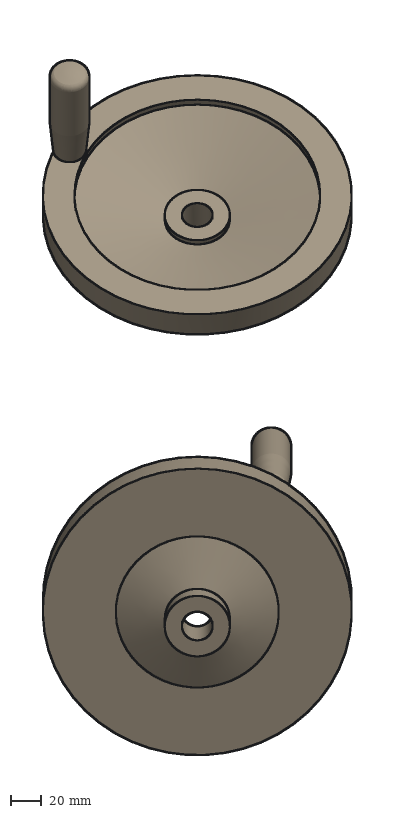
import cadquery as cq
import math

wheel_radius = 100.0
rim_inner_radius = 79.5
hub_radius = 21.0
bore_radius = 10.0
rim_bottom_z = 24.5
rim_thickness = 20.7
rim_top_z = rim_bottom_z + rim_thickness

web_hub_bottom_z = 12.2
web_underside_radius = 52.7
hub_top_z = rim_bottom_z
hub_rise = 4.3
rim_wall_depth = 5.0

overall_length = 202.8
overall_height = 127.5
grip_radius = 13.0
grip_base_radius = 10.7
grip_base_z = 47.8
taper_top_z = 77.5
neck_radius = 6.7
dome_radius = 40.5
top_fillet = 4.0
base_fillet = 1.0
handle_offset = overall_length - wheel_radius - grip_radius


def make_wheel():
    """Rim, dished web and bored hub, revolved in one piece."""
    return (
        cq.Workplane("XZ")
        .moveTo(bore_radius, 0)
        .lineTo(hub_radius, 0)
        .lineTo(hub_radius, web_hub_bottom_z)
        .lineTo(web_underside_radius, rim_bottom_z)
        .lineTo(wheel_radius, rim_bottom_z)
        .lineTo(wheel_radius, rim_top_z)
        .lineTo(rim_inner_radius, rim_top_z)
        .lineTo(rim_inner_radius, rim_top_z - rim_wall_depth)
        .lineTo(hub_radius, hub_top_z - hub_rise)
        .lineTo(hub_radius, hub_top_z)
        .lineTo(bore_radius, hub_top_z)
        .close()
        .revolve(360, (0, 0), (0, 1))
    )


def make_grip():
    """Cylindrical grip with a tapered lower end and a domed, rounded top."""
    dome_rise = dome_radius - math.sqrt(dome_radius**2 - grip_radius**2)
    grip = (
        cq.Workplane("XZ")
        .moveTo(0, grip_base_z)
        .lineTo(grip_base_radius, grip_base_z)
        .lineTo(grip_radius, taper_top_z)
        .lineTo(grip_radius, overall_height - dome_rise)
        .radiusArc((0, overall_height), -dome_radius)
        .close()
        .revolve(360, (0, 0), (0, 1))
    )
    grip = grip.faces("%CYLINDER").edges("%CIRCLE").edges(">Z").fillet(top_fillet)
    return grip.faces("<Z").edges().fillet(base_fillet)


def make_neck():
    """Short spindle joining the grip to the rim."""
    neck_length = grip_base_z - rim_top_z
    return cq.Workplane("XY").workplane(offset=rim_top_z).circle(neck_radius).extrude(neck_length)


handle = make_grip().union(make_neck()).translate((-handle_offset, 0, 0))
result = make_wheel().union(handle)